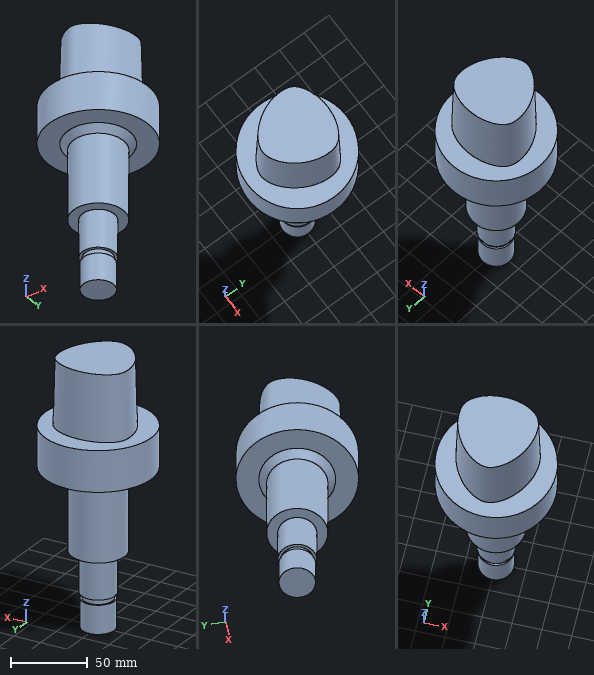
import cadquery as cq
import math

total_length = 193.0

shank_height = 48.0
shank_base_width = 55.0
shank_taper = 1 / 20
lobe_offset = 2.0
points_per_lobe = 12

flange_diameter = 79.9
flange_thickness = 30.0
cone_diameter = 50.0

body_diameter = 40.0
body_length = 55.0
neck_diameter = 25.5
neck_length = 30.0
groove_diameter = 21.5
groove_width = 4.0
tip_diameter = 24.0

cone_height = (cone_diameter - body_diameter) / 2

flange_bottom = -flange_thickness
cone_bottom = flange_bottom - cone_height
body_bottom = cone_bottom - body_length
neck_bottom = body_bottom - neck_length
groove_bottom = neck_bottom - groove_width
tip_bottom = shank_height - total_length


def lobed_outline(width):
    """Points of a constant-width, three-lobed curve with one lobe toward -Y."""
    count = 3 * points_per_lobe
    points = []
    for i in range(count):
        angle = 2 * math.pi * i / count
        along = (
            width / 2 * math.cos(angle)
            + 2 * lobe_offset * math.cos(2 * angle)
            - lobe_offset * math.cos(4 * angle)
        )
        across = (
            width / 2 * math.sin(angle)
            - 2 * lobe_offset * math.sin(2 * angle)
            - lobe_offset * math.sin(4 * angle)
        )
        points.append((across, -along))
    return points


def make_shank():
    top_width = shank_base_width - shank_height * shank_taper
    return (
        cq.Workplane("XY")
        .spline(lobed_outline(shank_base_width), periodic=True)
        .close()
        .workplane(offset=shank_height)
        .spline(lobed_outline(top_width), periodic=True)
        .close()
        .loft(ruled=True, combine=True)
    )


def make_turned_body():
    """Flange, cone and stem as one revolved half profile (radius, height)."""
    profile = [
        (0, 0),
        (flange_diameter / 2, 0),
        (flange_diameter / 2, flange_bottom),
        (cone_diameter / 2, flange_bottom),
        (body_diameter / 2, cone_bottom),
        (body_diameter / 2, body_bottom),
        (neck_diameter / 2, body_bottom),
        (neck_diameter / 2, neck_bottom),
        (groove_diameter / 2, neck_bottom),
        (groove_diameter / 2, groove_bottom),
        (tip_diameter / 2, groove_bottom),
        (tip_diameter / 2, tip_bottom),
        (0, tip_bottom),
    ]
    return cq.Workplane("XZ").polyline(profile).close().revolve(360, (0, 0, 0), (0, 1, 0))


result = make_turned_body().union(make_shank())